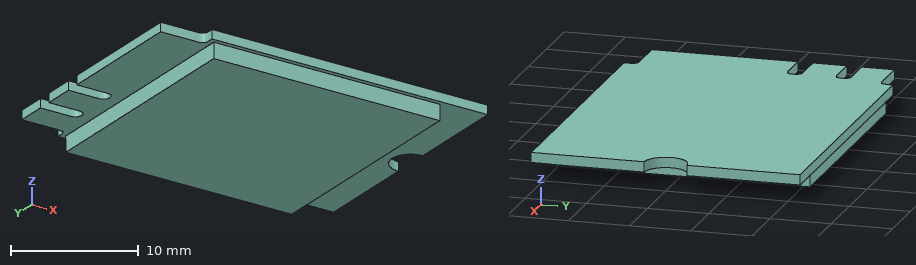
import cadquery as cq

board_length = 30.0
board_width = 22.0
total_height = 2.25
board_thickness = 0.85

connector_length = 4.1
connector_step = 1.08
step_fillet = 0.5
slot_width = 1.2
slot_depth = 3.48
slot_centers_y = (6.63, 2.65)

notch_radius = 1.75

block_length = 21.2
block_width = 21.12
block_start = 4.55
block_height = total_height - board_thickness


def make_board():
    """Flat board with both -X corners stepped in to form the connector."""
    main_length = board_length - connector_length
    main = cq.Workplane("XY").box(main_length, board_width, board_thickness, centered=(False, True, False))
    main = main.translate((connector_length, 0, 0))
    connector_width = board_width - 2 * connector_step
    connector = cq.Workplane("XY").box(
        board_length, connector_width, board_thickness, centered=(False, True, False)
    )
    board = main.union(connector)
    inner_corners = [
        (connector_length, side * connector_width / 2, board_thickness / 2) for side in (-1, 1)
    ]
    for corner in inner_corners:
        board = board.edges(cq.selectors.NearestToPointSelector(corner)).fillet(step_fillet)
    return board


def make_slot(center_y):
    """Round-ended slot cutter, open at the -X end."""
    slot = cq.Workplane("XY").center(0, center_y).slot2D(2 * slot_depth, slot_width)
    return slot.extrude(board_thickness)


def make_mounting_notch():
    """Cylinder centred on the +X edge."""
    return cq.Workplane("XY").center(board_length, 0).circle(notch_radius).extrude(board_thickness)


def make_block():
    """Rectangular block hanging from the underside of the board."""
    block = cq.Workplane("XY").box(block_length, block_width, block_height, centered=(False, True, False))
    return block.translate((block_start, 0, -block_height))


result = make_board().cut(make_mounting_notch())
for slot_y in slot_centers_y:
    result = result.cut(make_slot(slot_y))
result = result.union(make_block())